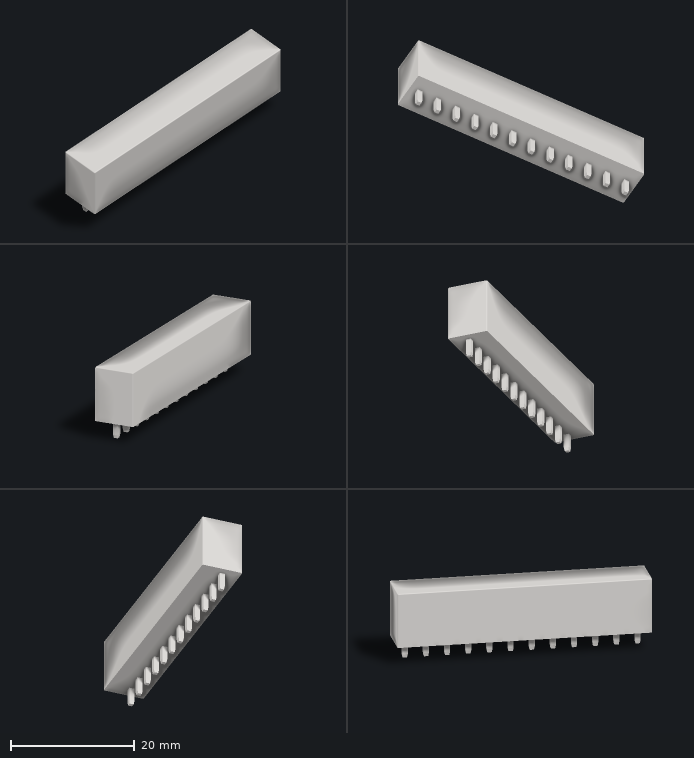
import cadquery as cq

body_width = 7.0
body_length = 42.1
total_height = 12.2
pin_length = 2.95
body_height = total_height - pin_length
edge_radius = 0.19

pin_count = 12
pin_row_length = 38.5
pin_pitch = pin_row_length / (pin_count - 1)
pin_side = 0.9
pin_row_x = -0.5
pin_row_y = 0.1
tip_length = 0.6
tip_inset = 0.105


def make_body():
    """Block standing on Z = 0, rounded on its upright and top edges."""
    block = cq.Workplane("XY").box(
        body_width, body_length, body_height, centered=(True, True, False)
    )
    return block.edges("|Z or >Z").fillet(edge_radius)


def make_pin(y):
    """Square pin hanging below the housing, with its tip chamfered on all four sides."""
    pin = (
        cq.Workplane("XY")
        .center(pin_row_x, y)
        .rect(pin_side, pin_side)
        .extrude(-pin_length)
    )
    return pin.faces("<Z").chamfer(tip_length, tip_inset)


result = make_body()
first_pin_y = pin_row_y - pin_row_length / 2
for index in range(pin_count):
    result = result.union(make_pin(first_pin_y + index * pin_pitch))